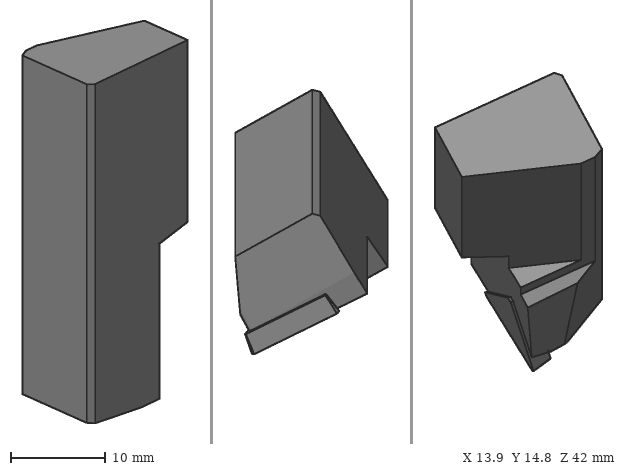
import cadquery as cq
import math

width = 13.95
depth = 14.75
height = 42.0
side_x = 3.3
front_bevel_y = 1.05
back_left_x = 7.55
slant_start_y = 2.75
slant_floor_z = 16.0
edge_chamfer = 0.65

front_bottom_z = 1.5
bottom_z = 0.7
bottom_break_y = 7.7
relief_top_z = 20.25
relief_bottom_z = 19.05
relief_y = 9.7
tilt = 3.1

head_top_x = 1.8
head_top_z = 13.65
head_root_z = 14.1
head_bottom_x = 0.85
head_twist = 1.8
head_pivot_y = 9.85
head_edge_radius = 0.5
front_bevel_slope = 0.48
front_left_x = side_x + front_bevel_slope * front_bevel_y

insert_width = 10.45
insert_trim = 0.6
insert_thickness = 2.3
insert_draft = 8.0
insert_face_y = 10.0

margin = 4.2


def upright(points, bottom, top):
    """Prism on an X-Y outline."""
    return cq.Workplane("XY", origin=(0, 0, bottom)).polyline(points).close().extrude(top - bottom)


def tilted_plane(face_y):
    """Plane facing the back, leaning about Z, with local X along the face and local Y up."""
    lean = math.radians(tilt)
    along = (-math.cos(lean), -math.sin(lean), 0)
    normal = (-math.sin(lean), math.cos(lean), 0)
    return cq.Plane(origin=(0, face_y, 0), xDir=along, normal=normal)


def make_shank():
    shank = upright(
        [
            (front_left_x, 0),
            (width - edge_chamfer, 0),
            (width, edge_chamfer),
            (width, depth),
            (side_x, depth),
            (side_x, front_bevel_y),
        ],
        bottom_z,
        height,
    )
    flank_cut = upright(
        [(side_x, slant_start_y), (back_left_x, depth), (side_x, depth)], slant_floor_z, height
    )
    return shank.cut(flank_cut)


def make_head():
    head = (
        cq.Workplane("XZ")
        .polyline(
            [
                (head_bottom_x, bottom_z),
                (head_top_x, head_top_z),
                (side_x, head_root_z),
                (width / 2, head_root_z),
                (width / 2, bottom_z),
            ]
        )
        .close()
        .extrude(-(depth + margin))
        .rotate((head_bottom_x, head_pivot_y, 0), (head_bottom_x, head_pivot_y, 1), head_twist)
    )
    bevel_end_y = front_left_x / front_bevel_slope
    envelope = upright(
        [
            (front_left_x, 0),
            (0, bevel_end_y),
            (0, depth),
            (width / 2, depth),
            (width / 2, 0),
        ],
        0,
        height,
    )
    return head.intersect(envelope)


def make_underside_cut():
    return (
        cq.Workplane("YZ")
        .polyline([(0, 0), (0, front_bottom_z), (bottom_break_y, bottom_z), (bottom_break_y, 0)])
        .close()
        .extrude(width)
    )


def round_head_edge(holder):
    """Round the lower left edge of the head, from the front bevel to the back."""
    near_corner = (0, depth / 3, 0)
    far_corner = (side_x / 2, depth, (front_bottom_z + bottom_z) / 2)
    lower_left = cq.selectors.BoxSelector(near_corner, far_corner)
    return holder.edges(lower_left).fillet(head_edge_radius)


def make_relief_cut():
    """Back relief with a sloping shoulder, running through the whole width."""
    shoulder_slope = (relief_top_z - relief_bottom_z) / (depth - relief_y)
    outer_y = depth + margin
    shoulder = (
        cq.Workplane("YZ")
        .polyline(
            [
                (0, 0),
                (outer_y, 0),
                (outer_y, relief_top_z + shoulder_slope * margin),
                (0, relief_bottom_z - shoulder_slope * relief_y),
            ]
        )
        .close()
        .extrude(width)
    )
    behind_relief = (
        cq.Workplane(tilted_plane(relief_y))
        .rect(4 * width, 2 * height)
        .extrude(depth)
    )
    return shoulder.intersect(behind_relief)


def make_insert():
    side = insert_width + insert_trim
    left = -insert_trim / 2
    trim_rise = insert_trim * math.sqrt(3) / 2
    apex = side * math.sqrt(3) / 2
    middle = left + side / 2
    outline = [
        (-(left + insert_trim), 0),
        (-(left + side - insert_trim), 0),
        (-insert_width, trim_rise),
        (-(middle + insert_trim / 2), apex - trim_rise),
        (-(middle - insert_trim / 2), apex - trim_rise),
        (0, trim_rise),
    ]
    return (
        cq.Workplane(tilted_plane(insert_face_y))
        .polyline(outline)
        .close()
        .extrude(-insert_thickness, taper=insert_draft)
    )


def make_holder(insert):
    holder = make_shank().union(make_head()).cut(make_underside_cut())
    holder = round_head_edge(holder)
    return holder.cut(make_relief_cut()).cut(insert)


insert = make_insert()
holder = make_holder(insert)
result = cq.Compound.makeCompound([holder.val(), insert.val()])